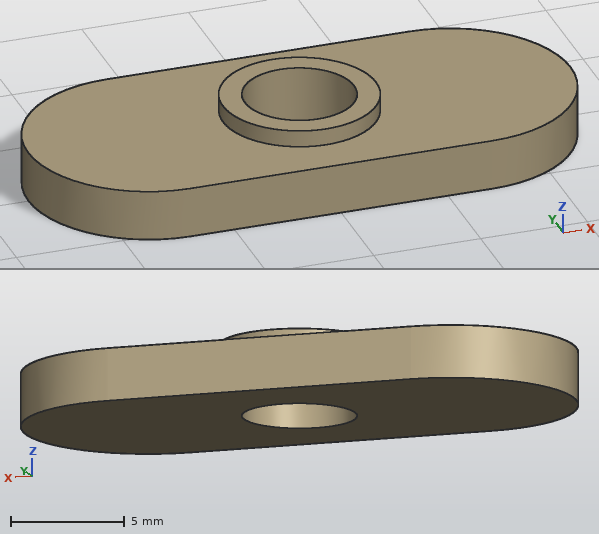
import cadquery as cq

plate_length = 25.4
plate_width = 11.25
plate_thickness = 2.4
total_height = 3.18
boss_diameter = 7.16
hole_diameter = 5.1

plate = cq.Workplane("XY").slot2D(plate_length, plate_width).extrude(plate_thickness)

boss = cq.Workplane("XY").circle(boss_diameter / 2).extrude(total_height)

hole = cq.Workplane("XY").circle(hole_diameter / 2).extrude(total_height)

result = plate.union(boss).cut(hole)